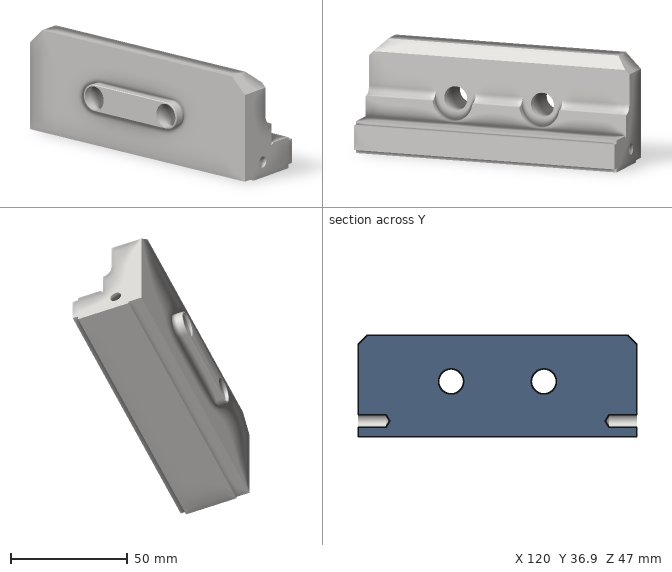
import cadquery as cq

length = 120.0
height = 47.0
foot_depth = 32.0

wall_thickness = 14.0
shelf_depth = 18.0
shelf_height = 22.9
foot_height = 14.0
top_chamfer = 5.0
corner_chamfer = 7.0
front_rebate_depth = 6.0
front_rebate_height = 1.0
tongue_length = 2.5
tongue_bottom = 1.8
tongue_top = 12.6
relief_width = 1.2
relief_depth = 1.1

boss_projection = 4.9
boss_radius = 6.0
boss_edge_chamfer = 0.2
bolt_spacing = 40.0
bolt_height = 24.0
bolt_hole_diameter = 10.5
spotface_diameter = 18.5

end_hole_diameter = 5.0
end_hole_depth = 12.0
end_hole_y = 12.0
end_hole_z = 7.0
drill_tip_length = 1.5


def make_body():
    """Sweep the stepped section along X, with a concave fillet where the wall meets the shelf."""
    tongue_base = foot_depth - tongue_length
    fillet_radius = shelf_depth - wall_thickness
    return (
        cq.Workplane("YZ")
        .moveTo(0, front_rebate_height)
        .lineTo(front_rebate_depth, front_rebate_height)
        .lineTo(front_rebate_depth, 0)
        .lineTo(tongue_base, 0)
        .lineTo(tongue_base, tongue_bottom)
        .lineTo(foot_depth, tongue_bottom)
        .lineTo(foot_depth, tongue_top)
        .lineTo(tongue_base, tongue_top)
        .lineTo(tongue_base, foot_height)
        .lineTo(shelf_depth + relief_width, foot_height)
        .lineTo(shelf_depth, foot_height - relief_depth)
        .lineTo(shelf_depth, shelf_height)
        .radiusArc((wall_thickness, shelf_height + fillet_radius), fillet_radius)
        .lineTo(wall_thickness, height - top_chamfer)
        .lineTo(wall_thickness - top_chamfer, height)
        .lineTo(0, height)
        .close()
        .extrude(length / 2, both=True)
    )


def make_corner_cut(side):
    """Triangular prism that bevels one upper end; side is -1 or 1."""
    end_x = side * length / 2
    return (
        cq.Workplane("XZ")
        .polyline([
            (end_x, height),
            (end_x - side * corner_chamfer, height),
            (end_x, height - corner_chamfer),
        ])
        .close()
        .extrude(-foot_depth)
    )


def make_boss():
    """Oblong boss standing out of the front face."""
    return (
        cq.Workplane("XZ")
        .center(0, bolt_height)
        .slot2D(bolt_spacing + 2 * boss_radius, 2 * boss_radius)
        .extrude(boss_projection)
        .faces("<Y")
        .chamfer(boss_edge_chamfer)
    )


def make_bolt_cut(side):
    """Through hole plus a rear spotface level with the upper wall face."""
    center_x = side * bolt_spacing / 2
    hole = (
        cq.Workplane("XZ", origin=(center_x, -boss_projection, bolt_height))
        .circle(bolt_hole_diameter / 2)
        .extrude(-(boss_projection + foot_depth))
    )
    spotface = (
        cq.Workplane("XZ", origin=(center_x, wall_thickness, bolt_height))
        .circle(spotface_diameter / 2)
        .extrude(-(foot_depth - wall_thickness))
    )
    return hole.union(spotface)


def make_end_hole(side):
    """Blind drilled hole with a conical tip, entering from one end."""
    radius = end_hole_diameter / 2
    end_x = side * length / 2
    shoulder_x = end_x - side * end_hole_depth
    tip_x = shoulder_x - side * drill_tip_length
    return (
        cq.Workplane("XY", origin=(0, end_hole_y, end_hole_z))
        .polyline([(end_x, 0), (end_x, radius), (shoulder_x, radius), (tip_x, 0)])
        .close()
        .revolve(360, (0, 0, 0), (1, 0, 0))
    )


result = make_body().union(make_boss())
for side in (-1, 1):
    result = result.cut(make_corner_cut(side))
    result = result.cut(make_bolt_cut(side))
    result = result.cut(make_end_hole(side))